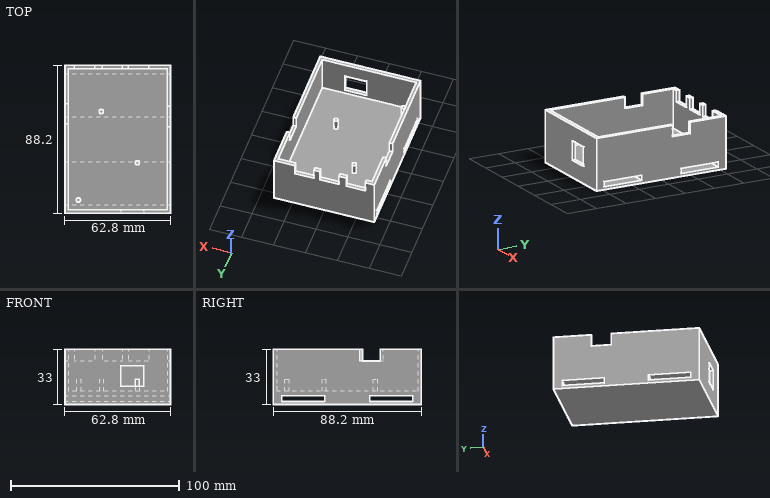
import cadquery as cq

width, depth, height = 62.8, 88.2, 33.0
side_wall = 2.0
end_wall = 2.2
floor_top = 8.3

notch_width = 12.0
notch_depth = 7.1
back_notch_centers_x = (-19.8, -3.3, 12.35)
left_notch_center_y = 15.2
right_notch_center_y = 13.6

window_width = 13.8
window_height = 12.2
window_center_x = 8.55
window_bottom = 10.9

slot_length = 25.4
slot_height = 3.2
slot_bottom = 1.9
slot_offset_y = 26.1

pin_diameter = 2.6
pin_height = 6.8
pin_centers = ((-9.8, 16.5), (11.6, -13.9), (-23.4, -36.1))


def block(size_x, size_y, size_z, center_x, center_y, bottom):
    """Box centred on a point in X and Y, standing on the given Z level."""
    box = cq.Workplane("XY").box(size_x, size_y, size_z, centered=(True, True, False))
    return box.translate((center_x, center_y, bottom))


inner_width = width - 2 * side_wall
inner_depth = depth - 2 * end_wall
shell = block(width, depth, height, 0, 0, 0)
result = shell.cut(block(inner_width, inner_depth, height - floor_top, 0, 0, floor_top))

notch_bottom = height - notch_depth
side_wall_x = (width - side_wall) / 2
end_wall_y = (depth - end_wall) / 2
for x in back_notch_centers_x:
    result = result.cut(block(notch_width, end_wall, notch_depth, x, end_wall_y, notch_bottom))
for x, y in ((-side_wall_x, left_notch_center_y), (side_wall_x, right_notch_center_y)):
    result = result.cut(block(side_wall, notch_width, notch_depth, x, y, notch_bottom))

result = result.cut(
    block(window_width, end_wall, window_height, window_center_x, -end_wall_y, window_bottom)
)

for y in (-slot_offset_y, slot_offset_y):
    result = result.cut(block(width, slot_length, slot_height, 0, y, slot_bottom))

pins = (
    cq.Workplane("XY", origin=(0, 0, floor_top))
    .pushPoints(pin_centers)
    .circle(pin_diameter / 2)
    .extrude(pin_height)
)
result = result.union(pins)